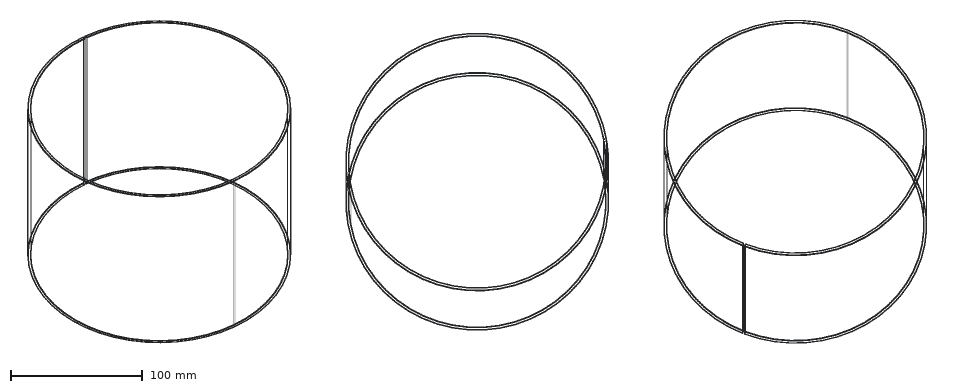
import cadquery as cq

outer_diameter = 200.0
inner_diameter = 195.2
height = 150.0
seam_gap = 1.5
rim_chamfer = 0.5

outer_radius = outer_diameter / 2
inner_radius = inner_diameter / 2


def make_sleeve():
    """Tube on the Z axis, standing on Z = 0, with bevelled rims."""
    tube = cq.Workplane("XY").circle(outer_radius).circle(inner_radius).extrude(height)
    return tube.faces("<Z or >Z").edges().chamfer(rim_chamfer)


def make_seam_cutter():
    """Full-height slot through the -X wall, with one side on the XZ plane."""
    slot = cq.Workplane("XY").box(outer_radius, seam_gap, height, centered=False)
    return slot.translate((-outer_radius, 0, 0))


result = make_sleeve().cut(make_seam_cutter())